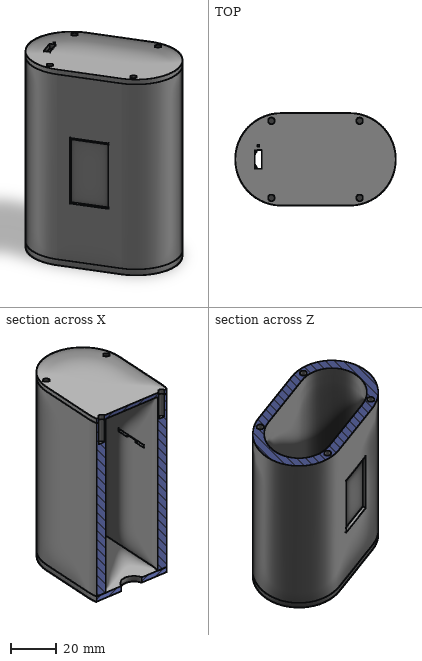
import cadquery as cq

total_length = 71.1
total_width = 41.0
total_height = 95.4
bottom_cap_thickness = 3.0
top_cap_thickness = 2.4
top_cap_base = total_height - top_cap_thickness
housing_height = top_cap_base - bottom_cap_thickness

wall_thickness = 5.2
cavity_length = total_length - 2 * wall_thickness
cavity_width = total_width - 2 * wall_thickness

screw_diameter = 3.0
screw_spacing_x = 39.0
screw_spacing_y = 34.1
screw_depth = 11.45

port_x = -25.3
port_size_x = 3.0
port_size_y = 8.2
indicator_diameter = 1.0
indicator_y = 6.0

connector_diameter = 12.0
connector_x = -21.2

front_y = -total_width / 2
recess_width = 18.0
recess_base = 31.0
recess_height = 32.0
recess_depth = 1.6
recess_top = recess_base + recess_height
slit_height = 1.4
slit_base = recess_top - slit_height

wedge_width = 5.8
wedge_x = -0.3
wedge_height = 1.1
wedge_run = 1.3


def stadium(length, width, base, height):
    """Upright prism with straight sides along X and half-round ends."""
    return cq.Workplane("XY").workplane(offset=base).slot2D(length, width).extrude(height)


def screw_holes(base, height):
    """Four upright cylinders at the corners of the screw pattern."""
    return (
        cq.Workplane("XY")
        .workplane(offset=base)
        .rect(screw_spacing_x, screw_spacing_y, forConstruction=True)
        .vertices()
        .circle(screw_diameter / 2)
        .extrude(height)
    )


def front_cut(base, height, depth):
    """Block as wide as the display recess that reaches into the front wall."""
    block = cq.Workplane("XY").box(recess_width, depth, height, centered=(True, False, False))
    return block.translate((0, front_y, base))


def cable_wedge():
    """Ramp that guides the cable through the slit, ending flush with the inside of the wall."""
    inner_y = front_y + wall_thickness
    return (
        cq.Workplane("YZ")
        .workplane(offset=wedge_x - wedge_width / 2)
        .moveTo(inner_y - wedge_run, slit_base)
        .lineTo(inner_y, slit_base)
        .lineTo(inner_y, slit_base + wedge_height)
        .close()
        .extrude(wedge_width)
    )


def make_bottom_cap():
    connector_hole = (
        cq.Workplane("XY")
        .center(connector_x, 0)
        .circle(connector_diameter / 2)
        .extrude(bottom_cap_thickness)
    )
    return stadium(total_length, total_width, 0, bottom_cap_thickness).cut(connector_hole)


def make_housing():
    body = stadium(total_length, total_width, bottom_cap_thickness, housing_height)
    body = body.cut(stadium(cavity_length, cavity_width, bottom_cap_thickness, housing_height))
    body = body.cut(screw_holes(top_cap_base - screw_depth, screw_depth))
    body = body.cut(front_cut(recess_base, recess_height, recess_depth))
    body = body.cut(front_cut(slit_base, slit_height, wall_thickness))
    return body.union(cable_wedge())


def make_top_cap():
    plane = cq.Workplane("XY").workplane(offset=top_cap_base)
    port = plane.center(port_x, 0).rect(port_size_x, port_size_y).extrude(top_cap_thickness)
    indicator = plane.center(port_x, indicator_y).circle(indicator_diameter / 2).extrude(top_cap_thickness)
    cap = stadium(total_length, total_width, top_cap_base, top_cap_thickness)
    return cap.cut(port).cut(indicator).cut(screw_holes(top_cap_base, top_cap_thickness))


bottom_cap = make_bottom_cap()
housing = make_housing()
top_cap = make_top_cap()

result = cq.Compound.makeCompound([bottom_cap.val(), housing.val(), top_cap.val()])